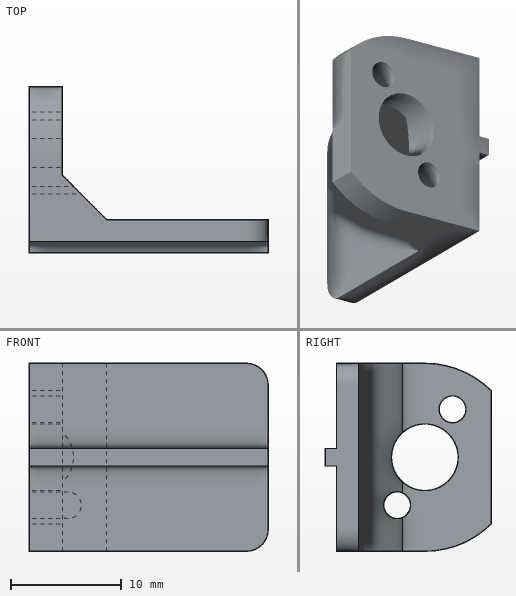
import cadquery as cq
import math

length = 21.6
height = 17.0
wall_thickness = 3.0
plate_thickness = 2.0
gusset_leg = 4.0
plate_corner_radius = 2.0

wall_reach = 14.0
bore_y = 8.0
bore_diameter = 6.0
screw_diameter = 2.4
screw_circle_radius = 5.0
screw_angles = (60.0, 240.0)

rib_width = 1.6
rib_projection = 1.0


def make_angle_profile():
    """L-shaped section with a sloped gusset in the inside corner, full height in Z."""
    gusset_y = plate_thickness + gusset_leg
    gusset_x = wall_thickness + gusset_leg
    return (
        cq.Workplane("XY")
        .workplane(offset=-height / 2)
        .polyline([
            (0, 0),
            (length, 0),
            (length, plate_thickness),
            (gusset_x, plate_thickness),
            (wall_thickness, gusset_y),
            (wall_thickness, wall_reach),
            (0, wall_reach),
        ])
        .close()
        .extrude(height)
    )


def make_wall_envelope():
    """Wall outline in YZ: straight sides running into arcs about the bore, cut flat at the tip."""
    radius = height / 2
    tip_half_width = math.sqrt(radius**2 - (wall_reach - bore_y) ** 2)
    mid_angle = (math.pi / 2 + math.atan2(tip_half_width, wall_reach - bore_y)) / 2
    mid_y = bore_y + radius * math.cos(mid_angle)
    mid_z = radius * math.sin(mid_angle)
    return (
        cq.Workplane("YZ")
        .moveTo(0, -radius)
        .lineTo(bore_y, -radius)
        .threePointArc((mid_y, -mid_z), (wall_reach, -tip_half_width))
        .lineTo(wall_reach, tip_half_width)
        .threePointArc((mid_y, mid_z), (bore_y, radius))
        .lineTo(0, radius)
        .close()
        .extrude(length)
    )


def make_hole(diameter, y, z):
    """Cutter along X, long enough to pass through the wall and the gusset."""
    return (
        cq.Workplane("YZ")
        .center(y, z)
        .circle(diameter / 2)
        .extrude(length)
    )


def make_rib():
    """Rectangular rib, centred in Z, over the full length of the plate."""
    return cq.Workplane("XY").box(
        length, rib_projection + plate_thickness, rib_width, centered=(False, False, True)
    ).translate((0, -rib_projection, 0))


bracket = make_angle_profile().intersect(make_wall_envelope())
bracket = bracket.edges("|Y and >X").fillet(plate_corner_radius)

bracket = bracket.cut(make_hole(bore_diameter, bore_y, 0))
for angle in screw_angles:
    screw_y = bore_y + screw_circle_radius * math.cos(math.radians(angle))
    screw_z = screw_circle_radius * math.sin(math.radians(angle))
    bracket = bracket.cut(make_hole(screw_diameter, screw_y, screw_z))

result = bracket.union(make_rib())